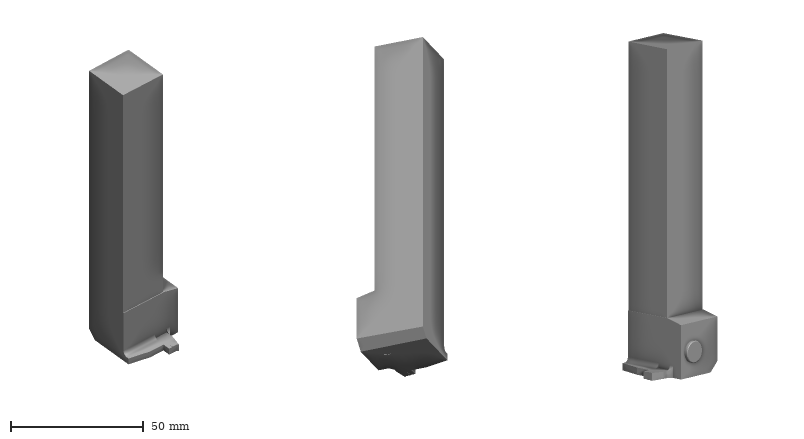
import cadquery as cq


total_height = 126.4
shank_width = 20.1
shank_depth = 19.7
side_draft = 0.4
holder_bottom = 0.1

head_width = 20.3
head_back = 27.0
head_shoulder = 21.1
head_top = 22.7
head_ledge_back = 20.1
corner_chamfer = 3.8

blade_top = 2.9
blade_front_reach = 23.3
blade_reach = 25.3
blade_taper_end = 9.1
fillet_radius = 1.9
jaw_back = 22.9

insert_length = 19.7
tip_x = 29.1
insert_front = 15.5
insert_back = 21.4
rake_start = 23.9
tip_root = 25.0
tip_edge_y = 20.0
end_relief = 0.44
relief_y = 19.2
tip_flare_front = 17.2
tip_flare = 0.1
insert_middle = tip_x - insert_length / 2
tip_root_back = insert_back - (insert_back - tip_edge_y) * (tip_root - rake_start) / (tip_x - rake_start)

screw_diameter = 8.5
screw_x = 14.2
screw_z = 10.0
screw_top = 28.4
screw_chamfer = 0.3


def plan_prism(points, bottom, top):
    """Extrude an XY outline between two heights."""
    return cq.Workplane("XY").workplane(offset=bottom).polyline(points).close().extrude(top - bottom)


def left_side_x(y):
    """X of the leaning left side at a given depth."""
    return side_draft * (1 - y / head_back)


def make_shank():
    back_x = left_side_x(shank_depth)
    outline = [(side_draft, 0), (shank_width, 0), (shank_width, shank_depth), (back_x, shank_depth)]
    return plan_prism(outline, holder_bottom, total_height)


def make_head():
    outline = [(side_draft, 0), (head_width, 0), (head_width, head_back), (0, head_back)]
    profile = [
        (0, holder_bottom),
        (head_back, holder_bottom),
        (head_back, head_shoulder),
        (head_ledge_back, head_top),
        (0, head_top),
    ]
    envelope = cq.Workplane("YZ").polyline(profile).close().extrude(head_width)
    return plan_prism(outline, holder_bottom, head_top).intersect(envelope)


def make_blade():
    outline = [
        (head_width, 0),
        (blade_front_reach, 0),
        (blade_reach, blade_taper_end),
        (blade_reach, insert_front),
        (head_width, insert_front),
    ]
    return plan_prism(outline, holder_bottom, blade_top)


def make_jaw():
    """Short jaw that holds the back of the insert, with the fillet radius as its reach."""
    outline = [
        (head_width, insert_back),
        (head_width + fillet_radius, insert_back),
        (head_width, jaw_back),
    ]
    blank = plan_prism(outline, holder_bottom, blade_top + fillet_radius)
    return blank.cut(make_fillet_cylinder())


def make_fillet_cylinder():
    return (
        cq.Workplane("XZ")
        .center(head_width + fillet_radius, blade_top + fillet_radius)
        .circle(fillet_radius)
        .extrude(-jaw_back)
    )


def make_blade_fillet():
    """Concave fillet between the head and the top of the blade."""
    block = cq.Workplane("XY").box(fillet_radius, insert_front, fillet_radius, centered=False)
    return block.translate((head_width, 0, blade_top)).cut(make_fillet_cylinder())


def make_corner_cutter():
    """Wedge that chamfers the lower left corner of the holder."""
    top = holder_bottom + corner_chamfer
    profile = [(0, holder_bottom), (corner_chamfer, holder_bottom), (0, top)]
    return cq.Workplane("XZ").polyline(profile).close().extrude(-head_back)


def make_screw_head():
    return (
        cq.Workplane("XZ", origin=(screw_x, screw_top, screw_z))
        .circle(screw_diameter / 2)
        .extrude(screw_top - head_back)
        .faces(">Y")
        .chamfer(screw_chamfer)
    )


def make_insert_half():
    """Right half of the insert, with a tip that flares towards its cutting edge."""
    outline = [
        (insert_middle, insert_front),
        (tip_x - end_relief, insert_front),
        (tip_x - end_relief, relief_y),
        (tip_x, tip_edge_y),
        (rake_start, insert_back),
        (insert_middle, insert_back),
    ]
    body = plan_prism(outline, holder_bottom, blade_top)

    tip_outline = (
        cq.Workplane("XY")
        .moveTo(tip_root, tip_root_back)
        .lineTo(tip_root, relief_y)
        .radiusArc((tip_x - end_relief, tip_flare_front), -(tip_x - tip_root))
        .lineTo(tip_x - end_relief, relief_y)
        .lineTo(tip_x, tip_edge_y)
        .close()
        .extrude(blade_top + tip_flare)
    )
    flare_profile = [
        (tip_root, holder_bottom),
        (tip_x, holder_bottom - tip_flare),
        (tip_x, blade_top + tip_flare),
        (tip_root, blade_top),
    ]
    flare = cq.Workplane("XZ").polyline(flare_profile).close().extrude(-insert_back)
    return body.union(tip_outline.intersect(flare))


def make_insert():
    half = make_insert_half()
    other_half = half.mirror("YZ", (insert_middle, 0, 0))
    return half.union(other_half)


def make_holder(insert):
    holder = make_shank().union(make_head()).union(make_blade()).union(make_blade_fillet()).union(make_jaw())
    return holder.cut(make_corner_cutter()).union(make_screw_head()).cut(insert)


insert = make_insert()
holder = make_holder(insert)

result = cq.Compound.makeCompound([holder.solids().val(), insert.solids().val()])